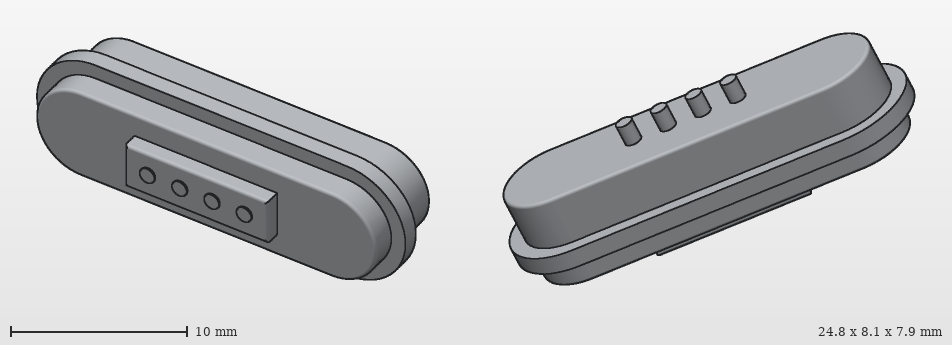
import cadquery as cq

end_spacing = 16.9
plug_height = 6.0
plug_front_depth = 1.6
plug_back_depth = 4.1
plug_edge_rounding = 0.2

flange_height = 7.9
flange_length = end_spacing + flange_height
flange_thickness = 1.1

block_length = 9.6
block_height = 3.0
block_depth = 1.0
block_rounding = 0.2

pin_count = 4
pin_diameter = 1.0
pin_pitch = 2.17
pin_front_projection = 0.1
pin_back_projection = 1.3

plug_front = -plug_front_depth
plug_back = plug_back_depth
block_front = plug_front - block_depth
pin_front = block_front - pin_front_projection
pin_back = plug_back + pin_back_projection


def front_plane(y):
    """Plane at depth y, with X to the right, Z up and its normal along -Y."""
    return cq.Workplane("XZ", origin=(0, y, 0))


def make_plug():
    length = end_spacing + plug_height
    plug = front_plane(plug_back).slot2D(length, plug_height).extrude(plug_back - plug_front)
    return plug.faces("<Y or >Y").fillet(plug_edge_rounding)


def make_flange():
    return front_plane(flange_thickness).slot2D(flange_length, flange_height).extrude(flange_thickness)


def make_block():
    block = front_plane(plug_front).rect(block_length, block_height).extrude(block_depth)
    return block.faces("<Y").fillet(block_rounding)


def make_pin(x):
    return front_plane(pin_back).center(x, 0).circle(pin_diameter / 2).extrude(pin_back - pin_front)


first_pin_x = -pin_pitch * (pin_count - 1) / 2
pins = [make_pin(first_pin_x + i * pin_pitch) for i in range(pin_count)]

housing = make_plug().union(make_flange()).union(make_block())
for pin in pins:
    housing = housing.cut(pin)

result = cq.Compound.makeCompound([housing.val(), *[pin.val() for pin in pins]])